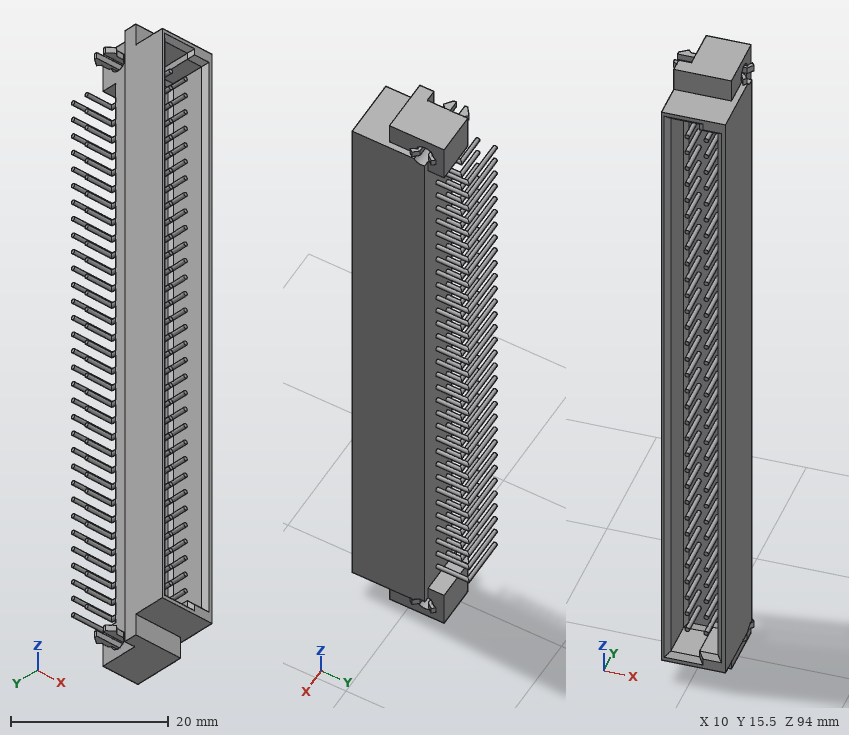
import cadquery as cq


LENGTH = 94.0
OVERALL_DEPTH = 15.5
BODY_LEFT = 1.4
BODY_RIGHT = 10.0
BACK_LEFT = 3.1
SHROUD_DEPTH = 7.05
BODY_BACK = 10.6
SHROUD_END = 3.2
EAR_FRONT = 5.0
EAR_BACK = 13.0
EAR_RIGHT = 9.1
EAR_HEIGHT = 5.5

MOUTH_LEFT = 1.8
MOUTH_RIGHT = 9.4
MOUTH_END = 3.8
KEY_LEFT = 7.0
KEY_END = 4.7
LEAD_IN = 0.7
FLOOR_CHAMFER = 0.52
CAVITY_DEPTH = 6.4

WIRE_DIAMETER = 0.6
CONTACTS_PER_ROW = 32
CONTACT_SPAN = 78.8
PITCH = CONTACT_SPAN / (CONTACTS_PER_ROW - 1)
ROW_COUNT = 2
CONTACT_TIP = 1.6
INNER_ROW_X = 4.3
INNER_TAIL_Y = OVERALL_DEPTH - WIRE_DIAMETER / 2 - PITCH

HOLE_DIAMETER = 2.5
HOLE_END = 2.5
HOLE_Y = 10.15
LEG_HEIGHT = 0.89
LEG_INNER = 0.61
LEG_OUTER = 1.0
LEG_SHOULDER = 1.4
SHOULDER_TAPER = 0.3
BARB_REACH = 1.9
BARB_X = 1.1
BARB_BACK_X = 1.6
HEAD_RIGHT = BODY_RIGHT
HEAD_FLARE = 0.4
HEAD_START = 0.2

HOLE_HEIGHTS = (HOLE_END, LENGTH - HOLE_END)


def make_block(x_range, y_range, z_range):
    """Box between the given pairs of limits."""
    sizes = [high - low for low, high in (x_range, y_range, z_range)]
    corner = (x_range[0], y_range[0], z_range[0])
    return cq.Workplane("XY").box(*sizes, centered=False).translate(corner)


def make_stepped_block(right, front, back, bottom, top):
    """Block whose tail side steps in behind the shroud."""
    front_part = make_block((BODY_LEFT, right), (front, SHROUD_DEPTH), (bottom, top))
    back_part = make_block((BACK_LEFT, right), (SHROUD_DEPTH, back), (bottom, top))
    return front_part.union(back_part)


def make_cavity_wire(inset, y):
    """Keyed cavity outline at depth y, moved inwards from the mouth by inset."""
    left = MOUTH_LEFT + inset
    right = MOUTH_RIGHT - inset
    key_left = KEY_LEFT - inset
    bottom = MOUTH_END + inset
    key_bottom = KEY_END + inset
    top = LENGTH - bottom
    key_top = LENGTH - key_bottom
    outline = [
        (left, bottom), (key_left, bottom), (key_left, key_bottom), (right, key_bottom),
        (right, key_top), (key_left, key_top), (key_left, top), (left, top),
    ]
    return cq.Wire.makePolygon([cq.Vector(x, y, z) for x, z in outline], close=True)


def cut_cavity(housing):
    """Lead-in chamfer, straight walls, then a chamfer down to the floor."""
    floor_inset = LEAD_IN + FLOOR_CHAMFER
    stages = [
        (0, 0),
        (LEAD_IN, LEAD_IN),
        (LEAD_IN, CAVITY_DEPTH - FLOOR_CHAMFER),
        (floor_inset, CAVITY_DEPTH),
    ]
    wires = [make_cavity_wire(inset, y) for inset, y in stages]
    for front_wire, back_wire in zip(wires, wires[1:]):
        housing = housing.cut(cq.Workplane(cq.Solid.makeLoft([front_wire, back_wire], True)))
    return housing


def cut_lock_holes(housing):
    for z in HOLE_HEIGHTS:
        hole = cq.Workplane("YZ", origin=(0, HOLE_Y, z)).circle(HOLE_DIAMETER / 2).extrude(BODY_RIGHT)
        housing = housing.cut(hole)
    return housing


def make_contact(mating_x, tail_y, z):
    """Round wire bent at a right angle from its tail to its mating tip."""
    corners = [(0, tail_y), (mating_x, tail_y), (mating_x, CONTACT_TIP)]
    path = cq.Workplane("XY", origin=(0, 0, z)).polyline(corners)
    section = cq.Workplane("YZ", origin=(0, tail_y, z)).circle(WIRE_DIAMETER / 2)
    return section.sweep(path, transition="right")


def make_contacts():
    contacts = []
    first_z = (LENGTH - CONTACT_SPAN) / 2
    for index in range(CONTACTS_PER_ROW):
        z = first_z + index * PITCH
        for row in range(ROW_COUNT):
            offset = row * PITCH
            contacts.append(make_contact(INNER_ROW_X + offset, INNER_TAIL_Y + offset, z).val())
    return contacts


def make_housing():
    housing = make_stepped_block(BODY_RIGHT, 0, BODY_BACK, SHROUD_END, LENGTH - SHROUD_END)
    for bottom in (0, LENGTH - EAR_HEIGHT):
        ear = make_stepped_block(EAR_RIGHT, EAR_FRONT, EAR_BACK, bottom, bottom + EAR_HEIGHT)
        housing = housing.union(ear)
    housing = cut_cavity(housing)
    housing = cut_lock_holes(housing)
    return cq.Workplane(housing.val().fuse(*make_contacts()))


def make_lock_leg(side, z):
    """One barbed leg with a flared head; side is +1 or -1 along Y from the hole axis."""
    profile = [
        (0, LEG_INNER),
        (0, LEG_OUTER),
        (BARB_X, BARB_REACH),
        (BARB_BACK_X, LEG_SHOULDER),
        (BACK_LEFT - SHOULDER_TAPER, LEG_SHOULDER),
        (BACK_LEFT, LEG_OUTER),
        (EAR_RIGHT, LEG_OUTER),
        (HEAD_RIGHT - HEAD_FLARE, BARB_REACH),
        (HEAD_RIGHT, LEG_SHOULDER),
        (EAR_RIGHT + HEAD_START, LEG_INNER),
    ]
    points = [(x, side * y) for x, y in profile]
    base = cq.Workplane("XY", origin=(0, HOLE_Y, z - LEG_HEIGHT / 2))
    return base.polyline(points).close().extrude(LEG_HEIGHT)


housing = make_housing()
lock_legs = [make_lock_leg(side, z).val() for z in HOLE_HEIGHTS for side in (-1, 1)]

result = cq.Compound.makeCompound([housing.val(), *lock_legs])